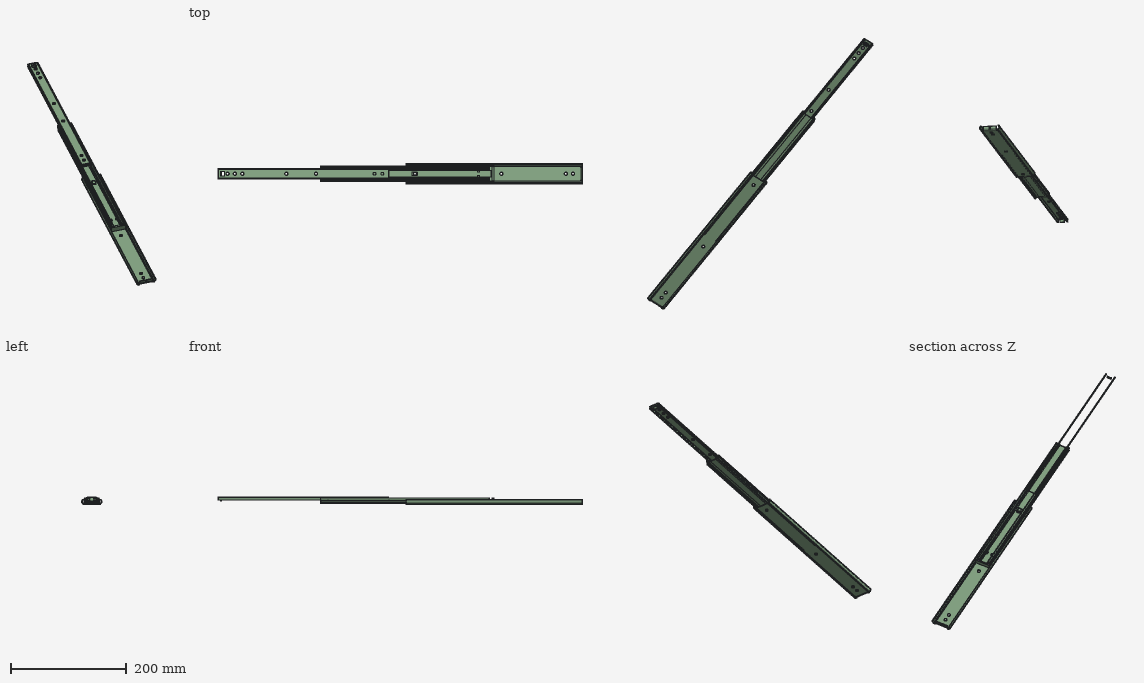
import cadquery as cq
import math


total_length = 628.7
total_height = 13.0
total_width = 35.3
sheet = 1.2

inner_length = 294.5
middle_start = 176.8
middle_end = 468.0
outer_start = 324.7

side_radius = 4.35
side_center_y = total_width / 2 - side_radius
side_center_z = 5.2
lip_angle = math.radians(60)
pan_outside_y = 15.0
pan_inside_y = 12.7
outer_hole_diameter = 5.0
outer_hole_x = (339.9, 488.7, 600.0, 612.3)
stop_bend_radius = 3.0
stop_half_width = 11.6
stop_relief = 0.4
stop_top = 7.6
stop_slot_width = 2.0

middle_bottom = 1.4
middle_top = 11.6
middle_half_width = 13.2
web_bottom = 4.4
web_top = web_bottom + sheet
web_half_width = 5.5
ridge_y = 7.0
ridge_z = 6.9
arm_foot_y = 11.2
arm_tip_y = 12.0
arm_bulge_z = 9.0
arm_ledge_y = 12.7
arm_ledge_z = 7.2
leg_top_y = 12.1
leg_valley_y = 11.6
leg_valley_z = 3.6
leg_foot_y = 12.4
ball_groove_depth = 0.5
slot_start = 334.5
slot_end = 344.5
slot_width = 6.0
lug_x = 449.5
lug_length = 4.0
lug_width = 2.2
lug_height = 0.8
tongue_length = 2.8

inner_half_width = 9.3
inner_bottom = 7.4
inner_web_half_width = 7.4
shoulder_drop = 0.5
shoulder_height = 0.7
inner_hole_diameter = 5.0
inner_hole_x = (16.5, 28.9, 41.9, 117.8, 168.9, 270.0, 283.4)
end_chamfer = 2.0
latch_window_start = 4.6
latch_window_end = 10.8
latch_window_width = 7.6
latch_bottom = 6.0

cage_thickness = 0.6
outer_cage_start = 350.0
outer_cage_y = 12.5
outer_cage_bottom = 2.6
outer_cage_top = 6.4
bumper_length = 3.6
bumper_gap = 4.3
bumper_bottom = 2.4
bumper_top = 11.0
bumper_corner_radius = 1.8
inner_cage_start = 190.0
inner_cage_y = 9.8
inner_cage_bottom = 7.3
inner_cage_top = 9.8


def block(x0, x1, y0, y1, z0, z1):
    """Box between opposite corners."""
    return cq.Workplane("XY").box(x1 - x0, y1 - y0, z1 - z0, centered=False).translate((x0, y0, z0))


def section_plane(x):
    """YZ sketch plane at x, extruding toward +X."""
    return cq.Workplane("YZ", origin=(x, 0, 0))


def mirrored_rail(half_section, length):
    """Extrude a +Y half section and join it to its mirror image."""
    half = half_section.close().extrude(length)
    return half.union(half.mirror("XZ"), clean=True)


def holes_through(x_positions, diameter, z0, z1):
    """Vertical cylinders on the centreline."""
    return (
        cq.Workplane("XY", origin=(0, 0, z0))
        .pushPoints([(x, 0) for x in x_positions])
        .circle(diameter / 2)
        .extrude(z1 - z0)
    )


def side_point(radius, angle):
    """Point on the outer rail's side arc, with the angle measured from +Y."""
    return (side_center_y + radius * math.cos(angle), side_center_z + radius * math.sin(angle))


def make_outer_rail():
    inside_radius = side_radius - sheet
    foot_angle = -math.acos((pan_outside_y - side_center_y) / side_radius)
    section = (
        section_plane(outer_start)
        .moveTo(0, 0)
        .lineTo(pan_outside_y, 0)
        .lineTo(*side_point(side_radius, foot_angle))
        .threePointArc(side_point(side_radius, 0), side_point(side_radius, lip_angle))
        .lineTo(*side_point(inside_radius, lip_angle))
        .threePointArc(side_point(inside_radius, 0), side_point(inside_radius, -math.pi / 2))
        .lineTo(pan_inside_y, side_center_z - inside_radius)
        .lineTo(pan_inside_y, sheet)
        .lineTo(0, sheet)
    )
    rail = mirrored_rail(section, total_length - outer_start)
    bend_start = total_length - stop_bend_radius
    relief_half_width = stop_half_width + stop_relief
    rail = rail.cut(block(bend_start, total_length, -relief_half_width, relief_half_width, 0, sheet))
    rail = rail.union(make_end_stop(bend_start))
    return rail.cut(holes_through(outer_hole_x, outer_hole_diameter, 0, sheet))


def make_end_stop(bend_start):
    """Tab at the closed end, bent up from the floor, with a slot in its middle."""
    diagonal = math.sqrt(0.5)
    inside_radius = stop_bend_radius - sheet
    stop = (
        cq.Workplane("XZ", origin=(0, stop_half_width, 0))
        .moveTo(bend_start, 0)
        .threePointArc(
            (bend_start + stop_bend_radius * diagonal, stop_bend_radius * (1 - diagonal)),
            (total_length, stop_bend_radius),
        )
        .lineTo(total_length, stop_top)
        .lineTo(total_length - sheet, stop_top)
        .lineTo(total_length - sheet, stop_bend_radius)
        .threePointArc(
            (bend_start + inside_radius * diagonal, stop_bend_radius - inside_radius * diagonal),
            (bend_start, sheet),
        )
        .close()
        .extrude(2 * stop_half_width)
    )
    slot_half = stop_slot_width / 2
    slot = block(bend_start, total_length, -slot_half, slot_half, stop_bend_radius, stop_top)
    return stop.cut(slot)


def make_middle_rail():
    section = (
        section_plane(middle_start)
        .moveTo(0, web_top)
        .lineTo(web_half_width, web_top)
        .lineTo(ridge_y, ridge_z)
        .lineTo(inner_half_width, web_top)
        .lineTo(arm_foot_y, ridge_z)
        .threePointArc(
            (middle_half_width - sheet, arm_bulge_z),
            (arm_tip_y - sheet, middle_top - sheet / 3),
        )
        .lineTo(arm_tip_y, middle_top)
        .threePointArc((middle_half_width, arm_bulge_z), (arm_ledge_y, arm_ledge_z))
        .lineTo(leg_top_y, arm_ledge_z)
        .lineTo(leg_valley_y, leg_valley_z)
        .lineTo(leg_foot_y, middle_bottom)
        .lineTo(leg_foot_y - sheet, middle_bottom)
        .lineTo(leg_valley_y - sheet, leg_valley_z)
        .lineTo(leg_valley_y - sheet, web_bottom)
        .lineTo(0, web_bottom)
    )
    rail = mirrored_rail(section, middle_end - middle_start)

    tongue_end = middle_end + tongue_length
    rail = rail.union(
        block(middle_end, tongue_end, -web_half_width, web_half_width, web_bottom, web_top)
    )
    slot = block(slot_start, slot_end, -slot_width / 2, slot_width / 2, web_bottom, web_top)
    slot = slot.edges("|Z and >X").fillet(slot_width / 3)
    rail = rail.cut(slot)

    lug = block(
        lug_x - lug_length / 2,
        lug_x + lug_length / 2,
        web_half_width - lug_width,
        web_half_width,
        web_top,
        web_top + lug_height,
    )
    return rail.union(lug).union(lug.mirror("XZ"))


def make_inner_rail():
    shoulder_z = total_height - shoulder_drop
    groove_top = shoulder_z - shoulder_height
    web_underside = total_height - sheet
    wall_y = inner_half_width - sheet - ball_groove_depth
    section = (
        section_plane(0)
        .moveTo(0, total_height)
        .lineTo(inner_web_half_width, total_height)
        .lineTo(inner_web_half_width, shoulder_z)
        .lineTo(inner_half_width, shoulder_z)
        .lineTo(inner_half_width, groove_top)
        .threePointArc(
            (inner_half_width - ball_groove_depth, (groove_top + inner_bottom) / 2),
            (inner_half_width, inner_bottom),
        )
        .lineTo(wall_y, inner_bottom)
        .lineTo(wall_y, web_underside)
        .lineTo(0, web_underside)
    )
    rail = mirrored_rail(section, inner_length)

    for side in (1, -1):
        corner = (
            cq.Workplane("XY", origin=(0, 0, inner_bottom))
            .moveTo(inner_length, side * inner_half_width)
            .lineTo(inner_length - end_chamfer, side * inner_half_width)
            .lineTo(inner_length, side * (inner_half_width - end_chamfer))
            .close()
            .extrude(total_height - inner_bottom)
        )
        rail = rail.cut(corner)

    rail = rail.cut(holes_through(inner_hole_x, inner_hole_diameter, web_underside, total_height))

    window_half = latch_window_width / 2
    rail = rail.cut(
        block(latch_window_start, latch_window_end, -window_half, window_half, web_underside, total_height)
    )
    latch = block(
        latch_window_start - sheet / 2,
        latch_window_start + sheet,
        -window_half,
        window_half,
        latch_bottom,
        total_height - sheet / 2,
    )
    return rail.union(latch)


def make_cage(x0, x1, strip_y, z0, z1, bar):
    """Two upright strips joined by a bar beyond their +X end."""
    cage = bar
    for inside in (strip_y, -strip_y - cage_thickness):
        cage = cage.union(block(x0, x1, inside, inside + cage_thickness, z0, z1))
    return cage


def make_outer_cage():
    bumper_start = middle_end + bumper_gap
    half_width = outer_cage_y + cage_thickness
    bumper = block(
        bumper_start, bumper_start + bumper_length, -half_width, half_width, bumper_bottom, bumper_top
    )
    bumper = bumper.edges("|X and >Z").fillet(bumper_corner_radius)
    return make_cage(
        outer_cage_start, bumper_start, outer_cage_y, outer_cage_bottom, outer_cage_top, bumper
    )


def make_inner_cage():
    half_width = inner_cage_y + cage_thickness
    bar = block(
        inner_length,
        inner_length + cage_thickness,
        -half_width,
        half_width,
        inner_cage_bottom,
        inner_cage_top,
    )
    return make_cage(
        inner_cage_start, inner_length, inner_cage_y, inner_cage_bottom, inner_cage_top, bar
    )


outer_rail = make_outer_rail()
middle_rail = make_middle_rail()
inner_rail = make_inner_rail()
outer_cage = make_outer_cage()
inner_cage = make_inner_cage()

result = cq.Compound.makeCompound(
    [outer_rail.val(), middle_rail.val(), inner_rail.val(), outer_cage.val(), inner_cage.val()]
)